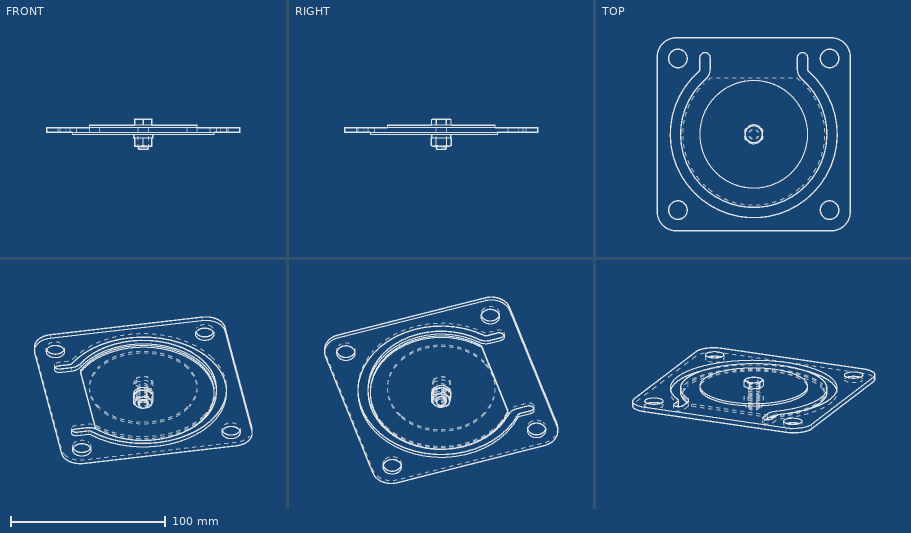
import cadquery as cq
import math

plate_side = 125.4
plate_thickness = 3.1
corner_radius = 12.5
mount_hole_diameter = 11.9
mount_hole_offset = 49.2

slot_width = 6.5
slot_radius = 50.8
slot_leg_x = 31.6
slot_leg_end_y = 49.7
slot_bend_radius = 5.3

upper_disc_diameter = 69.9
upper_disc_thickness = 1.5
lower_disc_radius = 46.0
lower_disc_thickness = 1.5
lower_disc_flat_y = 36.5

bolt_diameter = 6.5
bolt_tip_diameter = 5.9
bolt_protrusion = 2.0
bolt_tip_height = 1.0
hex_across_flats = 11.3
head_turned_diameter = 12.8
hex_face_diameter = 10.9
head_chamfer_height = 0.5
nut_chamfer_height = 0.8
nut_height = 5.6
washer_diameter = 12.5
washer_thickness = 2.0
total_height = 19.8

upper_disc_top = plate_thickness + upper_disc_thickness
lower_disc_bottom = -lower_disc_thickness
washer_bottom = lower_disc_bottom - washer_thickness
nut_bottom = washer_bottom - nut_height
bolt_bottom = nut_bottom - bolt_protrusion
bolt_taper_top = bolt_bottom + bolt_tip_height
head_top = bolt_bottom + total_height
head_height = head_top - upper_disc_top

hex_across_corners = hex_across_flats / math.cos(math.pi / 6)


def cylinder(diameter, bottom, top):
    """Round bar on the Z axis between two levels."""
    return cq.Workplane("XY", origin=(0, 0, bottom)).circle(diameter / 2).extrude(top - bottom)


def chamfered_hexagon(height, turned_diameter, chamfer_height):
    """Hexagon on Z = 0 with corners along Y, turned to a diameter and chamfered at the top."""
    prism = (
        cq.Workplane("XY")
        .transformed(rotate=(0, 0, 90))
        .polygon(6, hex_across_corners)
        .extrude(height)
    )
    turned = (
        cq.Workplane("XZ")
        .lineTo(turned_diameter / 2, 0)
        .lineTo(turned_diameter / 2, height - chamfer_height)
        .lineTo(hex_face_diameter / 2, height)
        .lineTo(0, height)
        .close()
        .revolve(360, (0, 0, 0), (0, 1, 0))
    )
    return prism.intersect(turned)


def slot_wall(offset):
    """Points of one slot wall on the +X side, from the arc to the leg end.

    The offset is measured outwards from the slot centreline. Both walls share one bend centre.
    """
    bend_x = slot_leg_x + slot_bend_radius
    bend_y = math.sqrt((slot_radius + slot_bend_radius) ** 2 - bend_x ** 2)
    arc_angle = math.atan2(bend_y, bend_x)
    middle_angle = math.pi + arc_angle / 2
    arc_radius = slot_radius + offset
    bend_radius = slot_bend_radius - offset
    arc_end = (arc_radius * math.cos(arc_angle), arc_radius * math.sin(arc_angle))
    bend_middle = (
        bend_x + bend_radius * math.cos(middle_angle),
        bend_y + bend_radius * math.sin(middle_angle),
    )
    bend_end = (slot_leg_x + offset, bend_y)
    leg_end = (slot_leg_x + offset, slot_leg_end_y)
    return arc_end, bend_middle, bend_end, leg_end


def mirrored(point):
    return (-point[0], point[1])


def make_slot_cutter():
    """Horseshoe slot of constant width: long arc, two bends and two straight legs."""
    half_width = slot_width / 2
    tip_y = slot_leg_end_y + half_width
    inner_arc, inner_bend, inner_leg_start, inner_leg_end = slot_wall(-half_width)
    outer_arc, outer_bend, outer_leg_start, outer_leg_end = slot_wall(half_width)
    return (
        cq.Workplane("XY")
        .moveTo(*outer_arc)
        .threePointArc(outer_bend, outer_leg_start)
        .lineTo(*outer_leg_end)
        .threePointArc((slot_leg_x, tip_y), inner_leg_end)
        .lineTo(*inner_leg_start)
        .threePointArc(inner_bend, inner_arc)
        .threePointArc((0, half_width - slot_radius), mirrored(inner_arc))
        .threePointArc(mirrored(inner_bend), mirrored(inner_leg_start))
        .lineTo(*mirrored(inner_leg_end))
        .threePointArc((-slot_leg_x, tip_y), mirrored(outer_leg_end))
        .lineTo(*mirrored(outer_leg_start))
        .threePointArc(mirrored(outer_bend), mirrored(outer_arc))
        .threePointArc((0, -half_width - slot_radius), outer_arc)
        .close()
        .extrude(plate_thickness)
    )


def make_plate():
    """Square plate with rounded corners, corner holes, bolt hole and horseshoe slot."""
    hole_spacing = 2 * mount_hole_offset
    blank = (
        cq.Workplane("XY")
        .rect(plate_side, plate_side)
        .extrude(plate_thickness)
        .edges("|Z")
        .fillet(corner_radius)
    )
    drilled = (
        blank.faces(">Z")
        .workplane()
        .rect(hole_spacing, hole_spacing, forConstruction=True)
        .vertices()
        .hole(mount_hole_diameter)
    )
    return drilled.cut(cylinder(bolt_diameter, 0, plate_thickness)).cut(make_slot_cutter())


def make_upper_disc():
    """Round disc on top of the plate."""
    disc = cylinder(upper_disc_diameter, plate_thickness, upper_disc_top)
    return disc.cut(cylinder(bolt_diameter, plate_thickness, upper_disc_top))


def make_lower_disc():
    """Disc under the plate with a straight cut on its +Y side."""
    chord_half = math.sqrt(lower_disc_radius ** 2 - lower_disc_flat_y ** 2)
    disc = (
        cq.Workplane("XY", origin=(0, 0, lower_disc_bottom))
        .moveTo(-chord_half, lower_disc_flat_y)
        .threePointArc((0, -lower_disc_radius), (chord_half, lower_disc_flat_y))
        .close()
        .extrude(lower_disc_thickness)
    )
    return disc.cut(cylinder(bolt_diameter, lower_disc_bottom, 0))


def make_washer():
    """Plain ring between the lower disc and the nut."""
    ring = cylinder(washer_diameter, washer_bottom, lower_disc_bottom)
    return ring.cut(cylinder(bolt_diameter, washer_bottom, lower_disc_bottom))


def make_nut():
    """Hexagon nut, chamfered on its lower face."""
    upright = chamfered_hexagon(nut_height, hex_across_corners, nut_chamfer_height)
    body = upright.rotate((0, 0, 0), (1, 0, 0), 180).translate((0, 0, washer_bottom))
    return body.cut(cylinder(bolt_diameter, nut_bottom, washer_bottom))


def make_bolt():
    """Hexagon-headed bolt with a shank that ends in a tapered tip below the nut."""
    upright = chamfered_hexagon(head_height, head_turned_diameter, head_chamfer_height)
    head = upright.translate((0, 0, upper_disc_top))
    shank = cylinder(bolt_diameter, bolt_taper_top, upper_disc_top)
    tip = (
        cq.Workplane("XY", origin=(0, 0, bolt_bottom))
        .circle(bolt_tip_diameter / 2)
        .workplane(offset=bolt_tip_height)
        .circle(bolt_diameter / 2)
        .loft()
    )
    return head.union(shank).union(tip)


plate = make_plate()
upper_disc = make_upper_disc()
lower_disc = make_lower_disc()
washer = make_washer()
nut = make_nut()
bolt = make_bolt()

result = cq.Compound.makeCompound(
    [plate.val(), upper_disc.val(), lower_disc.val(), washer.val(), nut.val(), bolt.val()]
)